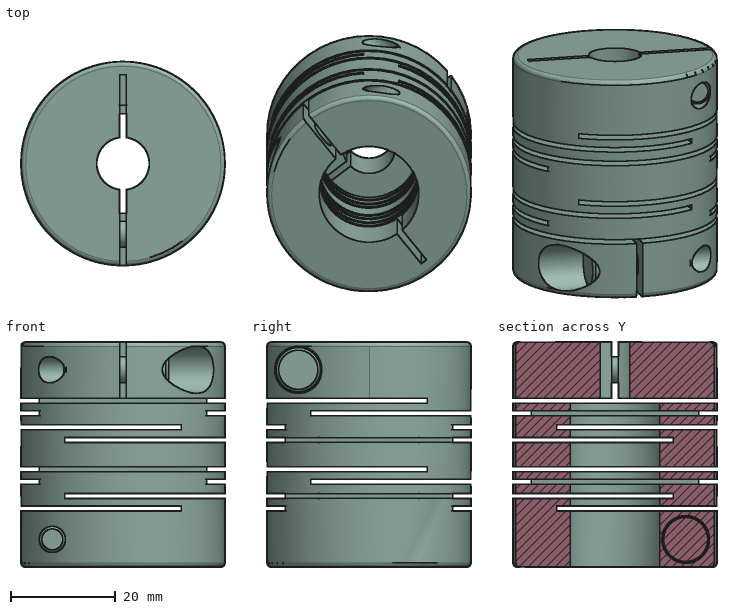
import cadquery as cq

diameter = 39.0
length = 43.0
edge_fillet = 0.85
upper_bore = 10.0
lower_bore = 19.0

slit_width = 0.9
first_slit_depth = 11.2
slit_pair_pitch = 2.4
pair_spacing = 5.1
hinge_offset = 11.1
UP_Y, DOWN_Y, UP_X, DOWN_X = 90, 270, 0, 180

split_width = 1.25
split_reach = 17.0
screw_offset = 13.5
screw_depth = 5.3
screw_diameter = 5.0
screw_tip_chamfer = 0.5
screw_length = 15.0
head_diameter = 8.5
head_height = 5.0
head_chamfer = 0.5
counterbore_diameter = 9.0
seat_x = 3.7

radius = diameter / 2
half_length = length / 2
hub_height = first_slit_depth - slit_width / 2
screw_z = half_length - screw_depth


def make_body():
    """Filleted cylinder with the small bore in the upper hub and the large bore below it."""
    body = cq.Workplane("XY").circle(radius).extrude(length).translate((0, 0, -half_length))
    body = body.edges("%CIRCLE").fillet(edge_fillet)
    small_bore = cq.Workplane("XY").circle(upper_bore / 2).extrude(half_length)
    large_bore = (
        cq.Workplane("XY", origin=(0, 0, -half_length))
        .circle(lower_bore / 2)
        .extrude(length - hub_height)
    )
    return body.cut(small_bore).cut(large_bore)


def make_slit(z, hinge_direction):
    """Slab that cuts across the body up to the hinge segment."""
    slab_length = radius + hinge_offset
    slab = cq.Workplane("XY").box(slab_length, diameter, slit_width)
    slab = slab.translate((hinge_offset - slab_length / 2, 0, z))
    return slab.rotate((0, 0, 0), (0, 0, 1), hinge_direction)


def slit_layout():
    """Height and hinge direction of every slit, from the top down."""
    upper_hinges = [UP_Y, DOWN_Y, UP_X, DOWN_X]
    lower_hinges = [UP_Y, DOWN_Y, DOWN_X, UP_X]
    depths = [
        first_slit_depth,
        first_slit_depth + slit_pair_pitch,
        first_slit_depth + pair_spacing,
        first_slit_depth + pair_spacing + slit_pair_pitch,
    ]
    heights = [half_length - depth for depth in depths]
    upper = list(zip(heights, upper_hinges))
    lower = list(zip([-z for z in reversed(heights)], lower_hinges))
    return upper + lower


def along_x(start, end, size):
    """Cylinder on the upper screw axis between two X positions."""
    return (
        cq.Workplane("YZ", origin=(start, -screw_offset, screw_z))
        .circle(size / 2)
        .extrude(end - start)
    )


def make_clamp_cut():
    """Split, screw hole and counterbore of the upper hub."""
    split_length = radius + split_reach
    split = cq.Workplane("XY").box(split_width, split_length, hub_height)
    split = split.translate((0, split_reach - split_length / 2, half_length - hub_height / 2))
    hole = along_x(-radius, seat_x, screw_diameter)
    counterbore = along_x(seat_x, radius, counterbore_diameter)
    return split.union(hole).union(counterbore)


def make_screw():
    """Clamp screw of the upper hub, its head towards +X."""
    shank = along_x(seat_x - screw_length, seat_x, screw_diameter)
    shank = shank.faces("<X").chamfer(screw_tip_chamfer)
    head = along_x(seat_x, seat_x + head_height, head_diameter)
    head = head.faces(">X").chamfer(head_chamfer)
    return shank.union(head)


def to_lower_hub(shape):
    """Half turn about the X = Y diagonal, from the upper hub to the lower one."""
    return shape.rotate((0, 0, 0), (1, 1, 0), 180)


result = make_body()
for slit_z, direction in slit_layout():
    result = result.cut(make_slit(slit_z, direction))
clamp_cut = make_clamp_cut()
screw = make_screw()
result = result.cut(clamp_cut).cut(to_lower_hub(clamp_cut))
result = result.union(screw).union(to_lower_hub(screw))